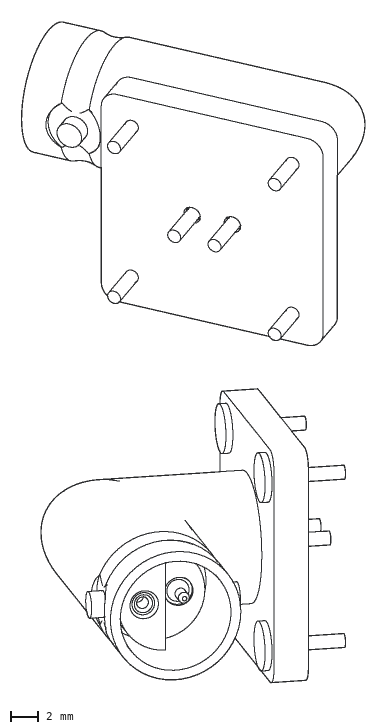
import cadquery as cq
import math

PLATE_SIDE = 17.5
PLATE_THICKNESS = 2.55
PLATE_CORNER_RADIUS = 1.27

PIN_DIAMETER = 1.02
PIN_LENGTH = 3.18
RIVET_OFFSET = 6.33
RIVET_HEAD_DIAMETER = 3.6
RIVET_HEAD_HEIGHT = 0.5
CONTACT_OFFSET = 1.6
PIN_CLEARANCE_DIAMETER = 1.3
PIN_CLEARANCE_DEPTH = 0.5

OVERALL_LENGTH = 26.95
TUBE_DIAMETER = 9.65
TUBE_RADIUS = TUBE_DIAMETER / 2
MOUTH_X = PLATE_SIDE / 2 - OVERALL_LENGTH
BARREL_Y = 12.0
MITRE_ROUND = 0.6
ROUND_STEPS = 12
RIM_STEPS = 24
ROUND_TOLERANCE = 1e-5
SEWING_TOLERANCE = 1e-3

LUG_X = MOUTH_X + 4.07
LUG_DIAMETER = 1.95
LUG_SPAN = 11.0
FLAT_DIAMETER = 4.29
FLAT_SPAN = 8.85
GROOVE_WIDTH = 2.2
GROOVE_DEPTH = 0.22

BORE_DIAMETER = 8.2
BORE_DEPTH = 8.08
INSERT_DIAMETER = 7.03
INSERT_HIGH_DEPTH = 3.2
INSERT_LOW_DEPTH = 5.93
HIGH_FACE_X = MOUTH_X + INSERT_HIGH_DEPTH
LOW_FACE_X = MOUTH_X + INSERT_LOW_DEPTH

CONTACT_WELL_DIAMETER = 2.1
SOCKET_LEDGE_DIAMETER = 1.67
SOCKET_FLARE_DIAMETER = 1.35
SOCKET_HOLE_DIAMETER = 0.85
FLARE_DEPTH = 0.27
SOCKET_DEPTH = 2.15

PIN_WELL_DEPTH = 0.27
PIN_BASE_DIAMETER = 1.65
PIN_SHANK_DIAMETER = 0.8
PIN_TIP_DIAMETER = 0.32
PIN_CONE_LENGTH = 0.8
PIN_SHANK_LENGTH = 1.08
PIN_TIP_LENGTH = 0.27


def rod_along_x(diameter, x_start, x_end, y):
    """Round rod at z = 0 between two X positions."""
    plane = cq.Plane(origin=(x_start, y, 0), xDir=(0, -1, 0), normal=(1, 0, 0))
    return cq.Workplane(plane).circle(diameter / 2).extrude(x_end - x_start)


def rod_along_y(diameter, y_start, y_end, x, z=0):
    """Round rod between two Y positions."""
    plane = cq.Plane(origin=(x, y_start, z), xDir=(0, 0, 1), normal=(0, 1, 0))
    return cq.Workplane(plane).circle(diameter / 2).extrude(y_end - y_start)


def revolve_along_x(profile, x_start, y):
    """Turn (distance along +X, radius) points about the X-parallel line through y."""
    points = [(x_start + distance, y + radius) for distance, radius in profile]
    return cq.Workplane("XY").polyline(points).close().revolve(360, (0, y, 0), (1, y, 0))


def mitre_round(side, offset):
    """Surface that rounds one side of the mitre.

    Every section at constant z is an arc scaled by the half width of the tube there,
    so the round fades to nothing where the mitre meets the top and bottom of the tube.
    A side of +1 with a positive offset is the outer corner, -1 with a negative one the inner.
    """
    rows = []
    for step in range(ROUND_STEPS + 1):
        turn = math.pi / 2 * step / ROUND_STEPS
        x_reach = side * (TUBE_RADIUS - offset + offset * math.cos(turn))
        y_reach = side * (TUBE_RADIUS - offset + offset * math.sin(turn))
        row = []
        for rim_step in range(RIM_STEPS + 1):
            tilt = math.pi * (rim_step / RIM_STEPS - 0.5)
            width = math.cos(tilt)
            height = TUBE_RADIUS * math.sin(tilt)
            row.append(cq.Vector(x_reach * width, BARREL_Y + y_reach * width, height))
        rows.append(row)
    return cq.Face.makeSplineApprox(rows, tol=ROUND_TOLERANCE, minDeg=3, maxDeg=6)


def make_elbow():
    reach = 4 * TUBE_RADIUS
    outer = reach * (TUBE_RADIUS - MITRE_ROUND) / TUBE_RADIUS
    inner = reach * (TUBE_RADIUS + MITRE_ROUND) / TUBE_RADIUS
    centre = cq.Workplane("XY", origin=(0, BARREL_Y, 0))
    barrel_outline = [(0, 0), (outer, reach), (-2 * reach, reach), (-2 * reach, -reach), (-inner, -reach)]
    leg_outline = [(0, 0), (reach, outer), (reach, -2 * reach), (-reach, -2 * reach), (-reach, -inner)]
    barrel_room = centre.polyline(barrel_outline).close().extrude(TUBE_DIAMETER, both=True)
    leg_room = centre.polyline(leg_outline).close().extrude(TUBE_DIAMETER, both=True)
    barrel = rod_along_x(TUBE_DIAMETER, MOUTH_X, reach, BARREL_Y).intersect(barrel_room)
    leg = rod_along_y(TUBE_DIAMETER, 0, BARREL_Y + reach, 0).intersect(leg_room)

    skin = barrel.faces("%CYLINDER").vals() + leg.faces("%CYLINDER").vals()
    skin += barrel.faces("<X").vals() + leg.faces("<Y").vals()
    skin += [mitre_round(1, MITRE_ROUND), mitre_round(-1, -MITRE_ROUND)]
    shell = cq.occ_impl.shapes.shell(*skin, tol=SEWING_TOLERANCE)
    return cq.Workplane(cq.Solid.makeSolid(shell))


def make_plate():
    return (
        cq.Workplane("XZ")
        .rect(PLATE_SIDE, PLATE_SIDE)
        .extrude(-PLATE_THICKNESS)
        .edges("|Y")
        .fillet(PLATE_CORNER_RADIUS)
    )


def add_rivets(body):
    """Corner pins with round heads on the inner face of the plate."""
    for x in (-RIVET_OFFSET, RIVET_OFFSET):
        for z in (-RIVET_OFFSET, RIVET_OFFSET):
            head_top = PLATE_THICKNESS + RIVET_HEAD_HEIGHT
            body = body.union(rod_along_y(RIVET_HEAD_DIAMETER, PLATE_THICKNESS, head_top, x, z))
            body = body.union(rod_along_y(PIN_DIAMETER, -PIN_LENGTH, PLATE_THICKNESS, x, z))
    return body


def add_contact_pins(body):
    """Middle pins, each standing in a slightly wider clearance hole."""
    for x in (-CONTACT_OFFSET, CONTACT_OFFSET):
        body = body.cut(rod_along_y(PIN_CLEARANCE_DIAMETER, 0, PIN_CLEARANCE_DEPTH, x))
        body = body.union(rod_along_y(PIN_DIAMETER, -PIN_LENGTH, PLATE_THICKNESS, x))
    return body


def cut_groove(body):
    """Shallow round-bottomed groove turned into the barrel."""
    rim_y = BARREL_Y + TUBE_RADIUS
    clear_y = rim_y + GROOVE_DEPTH
    left = LUG_X - GROOVE_WIDTH / 2
    right = LUG_X + GROOVE_WIDTH / 2
    groove = (
        cq.Workplane("XY")
        .moveTo(left, rim_y)
        .threePointArc((LUG_X, rim_y - GROOVE_DEPTH), (right, rim_y))
        .lineTo(right, clear_y)
        .lineTo(left, clear_y)
        .close()
        .revolve(360, (0, BARREL_Y, 0), (1, BARREL_Y, 0))
    )
    return body.cut(groove)


def add_lugs(body):
    """Two opposite round lugs, each standing on a milled round flat."""
    for side in (-1, 1):
        flat_y = BARREL_Y + side * FLAT_SPAN / 2
        tip_y = BARREL_Y + side * LUG_SPAN / 2
        body = body.cut(rod_along_y(FLAT_DIAMETER, flat_y, tip_y, LUG_X))
        body = body.union(rod_along_y(LUG_DIAMETER, flat_y, tip_y, LUG_X))
    return body


def make_insert():
    """Insert whose +Y half stands nearer the mouth than its -Y half."""
    floor_x = MOUTH_X + BORE_DEPTH
    insert = rod_along_x(INSERT_DIAMETER, HIGH_FACE_X, floor_x, BARREL_Y)
    step = (
        cq.Workplane("XY", origin=(HIGH_FACE_X, BARREL_Y, 0))
        .rect(LOW_FACE_X - HIGH_FACE_X, -INSERT_DIAMETER, centered=False)
        .extrude(INSERT_DIAMETER, both=True)
    )
    return insert.cut(step)


def cut_socket(body):
    profile = [
        (0, 0),
        (0, CONTACT_WELL_DIAMETER / 2),
        (FLARE_DEPTH, SOCKET_LEDGE_DIAMETER / 2),
        (FLARE_DEPTH, SOCKET_FLARE_DIAMETER / 2),
        (2 * FLARE_DEPTH, SOCKET_HOLE_DIAMETER / 2),
        (SOCKET_DEPTH, SOCKET_HOLE_DIAMETER / 2),
        (SOCKET_DEPTH, 0),
    ]
    return body.cut(revolve_along_x(profile, HIGH_FACE_X, BARREL_Y + CONTACT_OFFSET))


def add_insert_pin(body):
    y = BARREL_Y - CONTACT_OFFSET
    well_floor_x = LOW_FACE_X + PIN_WELL_DEPTH
    shank_start = PIN_CONE_LENGTH
    shank_end = shank_start + PIN_SHANK_LENGTH
    tip = shank_end + PIN_TIP_LENGTH
    profile = [
        (0, 0),
        (0, PIN_BASE_DIAMETER / 2),
        (-shank_start, PIN_SHANK_DIAMETER / 2),
        (-shank_end, PIN_SHANK_DIAMETER / 2),
        (-tip, PIN_TIP_DIAMETER / 2),
        (-tip, 0),
    ]
    body = body.cut(rod_along_x(CONTACT_WELL_DIAMETER, LOW_FACE_X, well_floor_x, y))
    return body.union(revolve_along_x(profile, well_floor_x, y))


body = make_elbow()
body = cut_groove(body)
body = add_lugs(body)
body = body.cut(rod_along_x(BORE_DIAMETER, MOUTH_X, MOUTH_X + BORE_DEPTH, BARREL_Y))
body = body.union(make_insert())
body = cut_socket(body)
body = add_insert_pin(body)
body = body.union(make_plate())
body = add_rivets(body)
result = add_contact_pins(body)